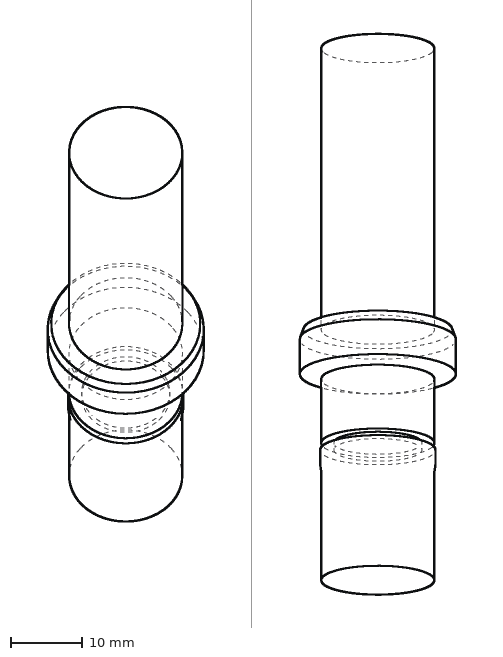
import cadquery as cq

total_length = 77.5
shaft_diameter = 16.0

groove_diameter = 12.4
groove_bottom = 19.0
groove_width = 1.0
land_diameter = 16.3
land_bottom = 16.9
land_taper_height = 1.1

collar_diameter = 22.0
collar_top_diameter = 21.0
collar_bottom_diameter = 16.6
collar_bottom = 29.3
collar_top = 36.5
lower_bevel_height = 0.74
upper_bevel_height = 1.4


def cylinder(diameter, bottom, top):
    """Solid cylinder on the Z axis between two heights."""
    return cq.Workplane("XY").workplane(offset=bottom).circle(diameter / 2).extrude(top - bottom)


def cone(bottom_diameter, top_diameter, bottom, top):
    """Solid truncated cone on the Z axis between two heights."""
    profile = [
        (0, bottom),
        (bottom_diameter / 2, bottom),
        (top_diameter / 2, top),
        (0, top),
    ]
    return cq.Workplane("XZ").polyline(profile).close().revolve(360, (0, 0), (0, 1))


def make_collar():
    rim_bottom = collar_bottom + lower_bevel_height
    rim_top = collar_top - upper_bevel_height
    lower_bevel = cone(collar_bottom_diameter, collar_diameter, collar_bottom, rim_bottom)
    rim = cylinder(collar_diameter, rim_bottom, rim_top)
    upper_bevel = cone(collar_diameter, collar_top_diameter, rim_top, collar_top)
    return lower_bevel.union(rim).union(upper_bevel)


def make_land():
    taper = cone(shaft_diameter, land_diameter, land_bottom - land_taper_height, land_bottom)
    return taper.union(cylinder(land_diameter, land_bottom, groove_bottom))


groove_top = groove_bottom + groove_width

lower_shaft = cylinder(shaft_diameter, 0, groove_bottom)
groove_core = cylinder(groove_diameter, groove_bottom, groove_top)
upper_shaft = cylinder(shaft_diameter, groove_top, total_length)

result = (
    lower_shaft
    .union(groove_core)
    .union(upper_shaft)
    .union(make_land())
    .union(make_collar())
)